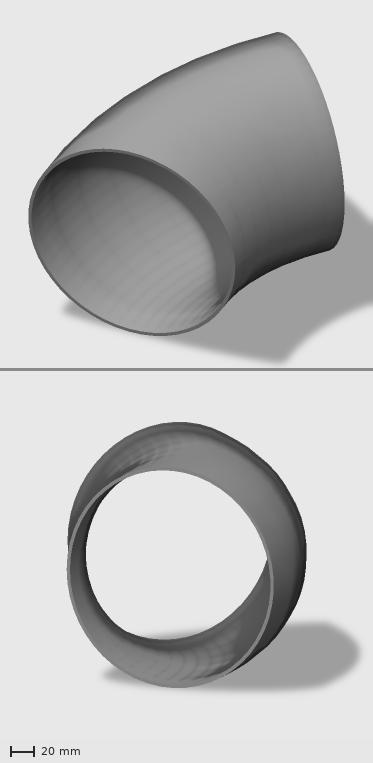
import cadquery as cq
import math

bend_angle = 45.0
length_y = 259.5
outer_diameter = 193.8
wall = 3.0

outer_radius = outer_diameter / 2
inner_radius = outer_radius - wall

bend_radius = length_y / math.sin(math.radians(bend_angle)) - outer_radius

result = (
    cq.Workplane("XZ")
    .circle(outer_radius)
    .circle(inner_radius)
    .revolve(bend_angle, (bend_radius, 2.5, 0), (bend_radius, 0, 0))
)